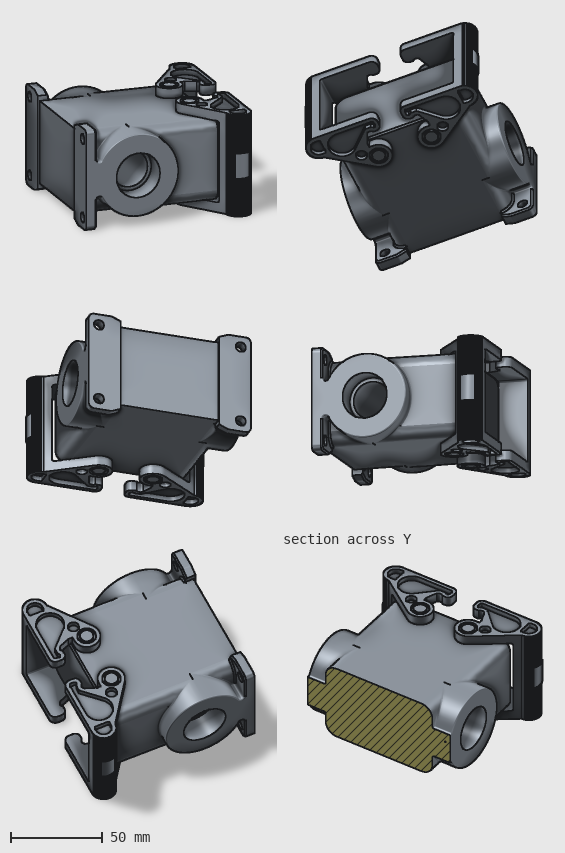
import cadquery as cq
import math

LENGTH = 102.1
DEPTH = 96.9
HEIGHT = 58.0

RIM_Y = 81.1
BASE_Y = 1.2
UPPER_HALF_WIDTH = 38.0
LOWER_HALF_WIDTH = 34.8
BODY_HALF_HEIGHT = 23.3
UPPER_CORNER = 6.7
LOWER_CORNER = 7.1
BODY_DRAFT = 0.25
RIM_CHAMFER = 1.0

ENTRY_Y = 30.3
ENTRY_RADIUS = 23.5
ENTRY_FACE_X = 47.0
ENTRY_EDGE = 0.8
ENTRY_BLEND = 0.9
SOCKET_RADIUS = 12.7
SOCKET_DEPTH = 13.8
BORE_RADIUS = 10.5

FOOT_INNER_X = 28.5
FOOT_THICKNESS = 6.1
FOOT_HALF_HEIGHT = 28.8
FOOT_CORNER = 3.1
FOOT_EDGE = 0.9
FOOT_BEVEL_X = 5.3
FOOT_BEVEL_Z = 2.1
FOOT_BEVEL_ROUND = 2.2
SCREW_RADIUS = 2.9
SCREW_X = 41.0
SCREW_Z = 22.5
COLLAR_SIZE = 1.0
COLLAR_SLOPE = 45.0
RELIEF_RADIUS = 1.7

ARM_INNER_Z = BODY_HALF_HEIGHT
BADGE_RAISE = 0.4
BADGE_LENGTH = 14.5
BADGE_WIDTH = 8.4
GRIP_RADIUS = 7.0
GRIP_X = LENGTH / 2 - BADGE_RAISE - GRIP_RADIUS
GRIP_Y = DEPTH - GRIP_RADIUS
GROOVE_COUNT = 19
GROOVE_PITCH = 8.6
GROOVE_RADIUS = 0.1
PIVOT_X = 15.7
PIVOT_Y = 71.9
PIVOT_RADIUS = 7.5
WEB_INNER_X = 39.8
WINDOW_CORNER = 1.3
HOOK_TIP_X = 7.0
HOOK_TIP_RADIUS = 3.5
HOOK_BOTTOM_Y = 87.9
BARB_RADIUS = 3.1
THROAT_X = 13.8
THROAT_Y = 88.8
THROAT_HALF_WIDTH = 1.8
HOOK_ROOT_X = 18.1
HOOK_ROOT_Y = 81.8

RECESS_DEPTH = 3.1
D_RADIUS = 4.5
D_FLAT_X = 41.0
D_CORNER = 0.8
DROP_X = 31.0
DROP_Y = 86.7
DROP_RADIUS = 7.8
DROP_NECK_X = 16.6
DROP_NECK_Y = 90.1
DROP_TIP_X = 9.3
DROP_TIP_RADIUS = 1.1
DROP_TIP_BOTTOM_Y = 90.4
DROP_LIP_Y = 91.3
DROP_LIP_START_X = 11.9
DROP_LIP_END_X = 15.3
PEEP_X = 24.2
PEEP_Y = 75.9
PEEP_RADIUS = 3.1
RING_OUTER_RADIUS = 5.1
PIN_RADIUS = 3.7
RING_DEPTH = 1.5

ARC_MIDDLE = 1 - math.sqrt(0.5)


def box_between(x_min, x_max, y_min, y_max, z_min, z_max):
    """Box given by its limits along each axis."""
    size = (x_max - x_min, y_max - y_min, z_max - z_min)
    corner = (x_min, y_min, z_min)
    return cq.Workplane("XY").box(*size, centered=False).translate(corner)


def mirrored_pair(solid):
    """The solid together with its mirror image on the -X side."""
    return solid.union(solid.mirror("YZ"))


def drafted_block(half_width, corner):
    """Block that widens slightly from the rim down to the base, with optional round corners."""
    outline = cq.Sketch().rect(2 * half_width, 2 * BODY_HALF_HEIGHT)
    if corner > 0:
        outline = outline.vertices().fillet(corner)
    return (
        cq.Workplane("XZ", origin=(0, RIM_Y, 0))
        .placeSketch(outline)
        .extrude(RIM_Y - BASE_Y, taper=-BODY_DRAFT)
    )


def slab(y_min, y_max):
    """Oversized block between two levels, for trimming."""
    return box_between(-LENGTH, LENGTH, y_min, y_max, -HEIGHT, HEIGHT)


def housing_body():
    """Solid body: stepped width at the cable axis and a square base between the feet."""
    upper = drafted_block(UPPER_HALF_WIDTH, UPPER_CORNER).intersect(slab(ENTRY_Y, DEPTH))
    upper = upper.faces(">Y").chamfer(RIM_CHAMFER)
    lower = drafted_block(LOWER_HALF_WIDTH, LOWER_CORNER).intersect(slab(0, ENTRY_Y + 1))
    base = drafted_block(FOOT_INNER_X, 0).intersect(slab(0, FOOT_THICKNESS))
    return upper.union(lower).union(base)


def x_cylinder(radius, x_min, x_max):
    """Cylinder along the cable axis."""
    return (
        cq.Workplane("YZ", origin=(x_min, ENTRY_Y, 0))
        .circle(radius)
        .extrude(x_max - x_min)
    )


def entry_neck():
    """Bridge between the cable entry and the foot, with a round relief on each side."""
    relief_y = FOOT_THICKNESS + RELIEF_RADIUS
    barrel_distance = ENTRY_RADIUS + RELIEF_RADIUS
    relief_z = math.sqrt(barrel_distance**2 - (ENTRY_Y - relief_y) ** 2)
    top_y = ENTRY_Y - (ENTRY_Y - relief_y) * ENTRY_RADIUS / barrel_distance
    neck = box_between(FOOT_INNER_X, ENTRY_FACE_X, BASE_Y, top_y, -relief_z, relief_z)
    reliefs = (
        cq.Workplane("YZ")
        .pushPoints([(relief_y, -relief_z), (relief_y, relief_z)])
        .circle(RELIEF_RADIUS)
        .extrude(ENTRY_FACE_X)
    )
    return neck.cut(reliefs)


def cable_entry():
    """Barrel of the cable entry with its neck, rounded around the outer face."""
    barrel = x_cylinder(ENTRY_RADIUS, 0, ENTRY_FACE_X).union(entry_neck())
    above_foot = cq.selectors.BoxSelector(
        (0, FOOT_THICKNESS, -HEIGHT), (LENGTH, DEPTH, HEIGHT)
    )
    return barrel.faces(">X").edges(above_foot).fillet(ENTRY_EDGE)


def foot():
    """Foot plate with bevelled inner corners, rounded outer corners and two screw holes."""
    bevel_x = FOOT_INNER_X + FOOT_BEVEL_X
    bevel_z = FOOT_HALF_HEIGHT - FOOT_BEVEL_Z
    plate = (
        cq.Workplane("XZ")
        .moveTo(bevel_x, FOOT_HALF_HEIGHT)
        .lineTo(ENTRY_FACE_X, FOOT_HALF_HEIGHT)
        .lineTo(ENTRY_FACE_X, -FOOT_HALF_HEIGHT)
        .lineTo(bevel_x, -FOOT_HALF_HEIGHT)
        .lineTo(FOOT_INNER_X, -bevel_z)
        .lineTo(FOOT_INNER_X, bevel_z)
        .close()
        .extrude(-FOOT_THICKNESS)
    )
    plate = plate.edges("|Y and >X").fillet(FOOT_CORNER)
    for side in (-1, 1):
        bevel_start = cq.selectors.NearestToPointSelector((bevel_x, 0, side * FOOT_HALF_HEIGHT))
        plate = plate.edges("|Y").edges(bevel_start).fillet(FOOT_BEVEL_ROUND)
    plate = plate.faces(">Y").edges("not <X").chamfer(FOOT_EDGE)
    screw_holes = (
        cq.Workplane("XZ")
        .pushPoints([(SCREW_X, side * SCREW_Z) for side in (-1, 1)])
        .circle(SCREW_RADIUS)
        .extrude(-FOOT_THICKNESS)
    )
    return plate.cut(screw_holes)


def foot_collar():
    """Sloped collar around the lower body where it meets the backs of the feet."""
    growth = (RIM_Y - FOOT_THICKNESS) * math.tan(math.radians(BODY_DRAFT)) + COLLAR_SIZE
    outline = (
        cq.Sketch()
        .rect(2 * (LOWER_HALF_WIDTH + growth), 2 * (BODY_HALF_HEIGHT + growth))
        .vertices()
        .fillet(LOWER_CORNER + growth)
    )
    collar = (
        cq.Workplane("XZ", origin=(0, FOOT_THICKNESS, 0))
        .placeSketch(outline)
        .extrude(-COLLAR_SIZE, taper=COLLAR_SLOPE)
    )
    return collar.cut(box_between(-FOOT_INNER_X, FOOT_INNER_X, 0, DEPTH, -HEIGHT, HEIGHT))


def housing():
    """Body with cable entries and feet, blended where they leave the body's side walls."""
    joined = housing_body().union(mirrored_pair(cable_entry()))
    joined = joined.edges("%ELLIPSE").fillet(ENTRY_BLEND)
    return joined.union(mirrored_pair(foot())).union(foot_collar())


def lever_outline():
    """Side profile of a lever: grip, hook and pivot eye."""
    grip_bottom = (GRIP_X, GRIP_Y - GRIP_RADIUS)
    run_x = GRIP_X - PIVOT_X
    drop_y = grip_bottom[1] - PIVOT_Y
    slope = math.atan2(drop_y, run_x) + math.asin(PIVOT_RADIUS / math.hypot(run_x, drop_y))
    eye_tangent = (
        PIVOT_X + PIVOT_RADIUS * math.sin(slope),
        PIVOT_Y - PIVOT_RADIUS * math.cos(slope),
    )
    corner = HOOK_TIP_RADIUS * ARC_MIDDLE
    barb_corner = BARB_RADIUS * ARC_MIDDLE
    return (
        cq.Workplane("XY")
        .moveTo(GRIP_X, DEPTH)
        .lineTo(HOOK_TIP_X + HOOK_TIP_RADIUS, DEPTH)
        .threePointArc(
            (HOOK_TIP_X + corner, DEPTH - corner), (HOOK_TIP_X, DEPTH - HOOK_TIP_RADIUS)
        )
        .lineTo(HOOK_TIP_X, HOOK_BOTTOM_Y + BARB_RADIUS)
        .threePointArc(
            (HOOK_TIP_X + barb_corner, HOOK_BOTTOM_Y + barb_corner),
            (HOOK_TIP_X + BARB_RADIUS, HOOK_BOTTOM_Y),
        )
        .lineTo(THROAT_X - THROAT_HALF_WIDTH, HOOK_BOTTOM_Y)
        .threePointArc((THROAT_X, THROAT_Y), (THROAT_X + THROAT_HALF_WIDTH, HOOK_BOTTOM_Y))
        .lineTo(HOOK_ROOT_X, HOOK_ROOT_Y)
        .lineTo(HOOK_ROOT_X, PIVOT_Y + PIVOT_RADIUS)
        .lineTo(PIVOT_X, PIVOT_Y + PIVOT_RADIUS)
        .threePointArc((PIVOT_X - PIVOT_RADIUS, PIVOT_Y), eye_tangent)
        .lineTo(*grip_bottom)
        .threePointArc((GRIP_X + GRIP_RADIUS, GRIP_Y), (GRIP_X, DEPTH))
        .close()
    )


def grip_grooves():
    """Fine flutes around the outside of the grip, along its full height."""
    first = -GROOVE_PITCH * (GROOVE_COUNT - 1) / 2
    angles = [math.radians(first + GROOVE_PITCH * i) for i in range(GROOVE_COUNT)]
    centres = [
        (GRIP_X + GRIP_RADIUS * math.cos(a), GRIP_Y + GRIP_RADIUS * math.sin(a)) for a in angles
    ]
    return (
        cq.Workplane("XY", origin=(0, 0, -HEIGHT / 2))
        .pushPoints(centres)
        .circle(GROOVE_RADIUS)
        .extrude(HEIGHT)
    )


def grip_badge():
    """Raised plain pad in the middle of the grip."""
    pad = (
        cq.Workplane("XY", origin=(GRIP_X, GRIP_Y, -BADGE_LENGTH / 2))
        .circle(GRIP_RADIUS + BADGE_RAISE)
        .extrude(BADGE_LENGTH)
    )
    limits = box_between(
        GRIP_X, LENGTH, GRIP_Y - BADGE_WIDTH / 2, GRIP_Y + BADGE_WIDTH / 2, -HEIGHT, HEIGHT
    )
    return pad.intersect(limits)


def d_recess(floor_z):
    """D-shaped recess concentric with the grip."""
    circle = cq.Workplane("XY", origin=(0, 0, floor_z)).center(GRIP_X, GRIP_Y).circle(D_RADIUS)
    round_part = circle.extrude(RECESS_DEPTH).intersect(
        box_between(GRIP_X, LENGTH, 0, DEPTH, floor_z, floor_z + RECESS_DEPTH)
    )
    flat_part = box_between(
        D_FLAT_X, GRIP_X, GRIP_Y - D_RADIUS, GRIP_Y + D_RADIUS, floor_z, floor_z + RECESS_DEPTH
    )
    return round_part.union(flat_part).edges("|Z and <X").fillet(D_CORNER)


def drop_recess(floor_z):
    """Teardrop recess whose narrow end reaches into the hook."""
    run_x = DROP_X - DROP_NECK_X
    rise_y = DROP_NECK_Y - DROP_Y
    slope = math.atan2(rise_y, run_x) + math.asin(DROP_RADIUS / math.hypot(run_x, rise_y))
    tangent = (
        DROP_X - DROP_RADIUS * math.sin(slope),
        DROP_Y - DROP_RADIUS * math.cos(slope),
    )
    top_y = DROP_Y + DROP_RADIUS
    tip_corner = DROP_TIP_RADIUS * ARC_MIDDLE
    return (
        cq.Workplane("XY", origin=(0, 0, floor_z))
        .moveTo(DROP_X, top_y)
        .lineTo(DROP_TIP_X + DROP_TIP_RADIUS, top_y)
        .threePointArc(
            (DROP_TIP_X + tip_corner, top_y - tip_corner), (DROP_TIP_X, top_y - DROP_TIP_RADIUS)
        )
        .lineTo(DROP_TIP_X, DROP_TIP_BOTTOM_Y + DROP_TIP_RADIUS)
        .threePointArc(
            (DROP_TIP_X + tip_corner, DROP_TIP_BOTTOM_Y + tip_corner),
            (DROP_TIP_X + DROP_TIP_RADIUS, DROP_TIP_BOTTOM_Y),
        )
        .lineTo(DROP_LIP_START_X, DROP_LIP_Y)
        .lineTo(DROP_LIP_END_X, DROP_LIP_Y)
        .lineTo(DROP_NECK_X, DROP_NECK_Y)
        .lineTo(*tangent)
        .threePointArc((DROP_X + DROP_RADIUS, DROP_Y), (DROP_X, top_y))
        .close()
        .extrude(RECESS_DEPTH)
    )


def arm_recesses():
    """All recesses cut into the outer face of the upper arm."""
    top_z = HEIGHT / 2
    floor_z = top_z - RECESS_DEPTH
    peep = (
        cq.Workplane("XY", origin=(PEEP_X, PEEP_Y, floor_z)).circle(PEEP_RADIUS).extrude(RECESS_DEPTH)
    )
    ring = (
        cq.Workplane("XY", origin=(PIVOT_X, PIVOT_Y, top_z - RING_DEPTH))
        .circle(RING_OUTER_RADIUS)
        .circle(PIN_RADIUS)
        .extrude(RING_DEPTH)
    )
    return d_recess(floor_z).union(drop_recess(floor_z)).union(peep).union(ring)


def lever():
    """Lever with two arms joined by the grip, its window spanning the body."""
    blank = lever_outline().extrude(HEIGHT / 2, both=True)
    window = box_between(0, WEB_INNER_X, 0, 2 * DEPTH, -ARM_INNER_Z, ARM_INNER_Z)
    window = window.edges("|Y and >X").fillet(WINDOW_CORNER)
    recesses = arm_recesses()
    return (
        blank.cut(window)
        .cut(grip_grooves())
        .union(grip_badge())
        .cut(recesses)
        .cut(recesses.mirror("XY"))
    )


socket = x_cylinder(SOCKET_RADIUS, ENTRY_FACE_X - SOCKET_DEPTH, ENTRY_FACE_X)
bore = x_cylinder(BORE_RADIUS, -ENTRY_FACE_X, ENTRY_FACE_X)

result = (
    housing()
    .union(mirrored_pair(lever()))
    .cut(mirrored_pair(socket))
    .cut(bore)
)